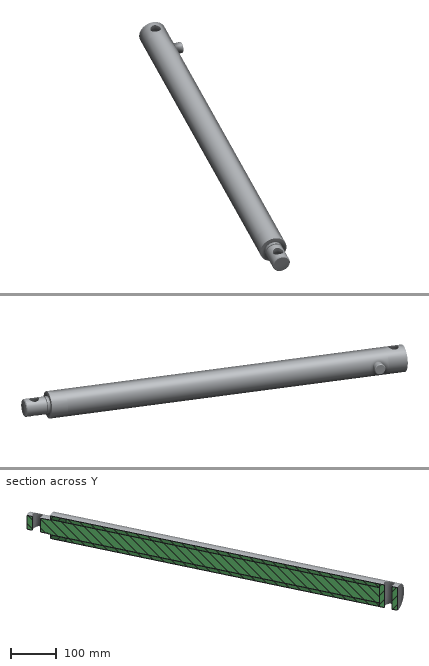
import cadquery as cq

TOTAL_LENGTH = 874.0
BARREL_DIAMETER = 60.0
BARREL_RADIUS = BARREL_DIAMETER / 2
CAP_LENGTH = 44.0
GLAND_START = 782.0
GLAND_END = 819.0

ROD_DIAMETER = 40.0

EYE_DIAMETER = 39.0
EYE_START = 825.0
EYE_CHAMFER = 2.0

PIN_HOLE_DIAMETER = 23.0
CAP_HOLE_X = 23.0
EYE_HOLE_X = 851.0

PORT_X = 68.0
PORT_DIAMETER = 24.5
PORT_TIP_Y = 75.0 - BARREL_RADIUS
PORT_CHAMFER = 1.3


def cylinder_along_x(start, end, diameter):
    """Solid cylinder on the X axis between two X positions."""
    return cq.Workplane("YZ", origin=(start, 0, 0)).circle(diameter / 2).extrude(end - start)


def ring_along_x(start, end, outer_diameter, inner_diameter):
    """Hollow cylinder on the X axis between two X positions."""
    outer = cylinder_along_x(start, end, outer_diameter)
    return outer.cut(cylinder_along_x(start, end, inner_diameter))


def pin_hole(x):
    """Cutter for a vertical pin hole through the whole diameter."""
    base = cq.Workplane("XY", origin=(x, 0, -BARREL_DIAMETER))
    return base.circle(PIN_HOLE_DIAMETER / 2).extrude(2 * BARREL_DIAMETER)


def make_end_cap():
    """Closed end of the cylinder with its mounting hole."""
    return cylinder_along_x(0, CAP_LENGTH, BARREL_DIAMETER).cut(pin_hole(CAP_HOLE_X))


def make_tube():
    """Barrel tube between the end cap and the gland."""
    return ring_along_x(CAP_LENGTH, GLAND_START, BARREL_DIAMETER, ROD_DIAMETER)


def make_gland():
    """Ring that guides the rod at the open end."""
    return ring_along_x(GLAND_START, GLAND_END, BARREL_DIAMETER, ROD_DIAMETER)


def make_rod():
    """Straight rod ending in a slightly thinner eye, chamfered at both ends, with a pin hole."""
    shaft = cylinder_along_x(CAP_LENGTH, EYE_START, ROD_DIAMETER)
    eye = cylinder_along_x(EYE_START, TOTAL_LENGTH, EYE_DIAMETER)
    eye = eye.faces("<X or >X").chamfer(EYE_CHAMFER)
    return shaft.union(eye).cut(pin_hole(EYE_HOLE_X))


def make_port():
    """Round port with a chamfered tip, its foot shaped to the barrel surface."""
    port = cq.Workplane("XZ").center(PORT_X, 0).circle(PORT_DIAMETER / 2).extrude(-PORT_TIP_Y)
    port = port.faces(">Y").chamfer(PORT_CHAMFER)
    return port.cut(cylinder_along_x(0, TOTAL_LENGTH, BARREL_DIAMETER))


end_cap = make_end_cap()
tube = make_tube()
gland = make_gland()
rod = make_rod()
port = make_port()

result = cq.Compound.makeCompound([end_cap.val(), tube.val(), gland.val(), rod.val(), port.val()])